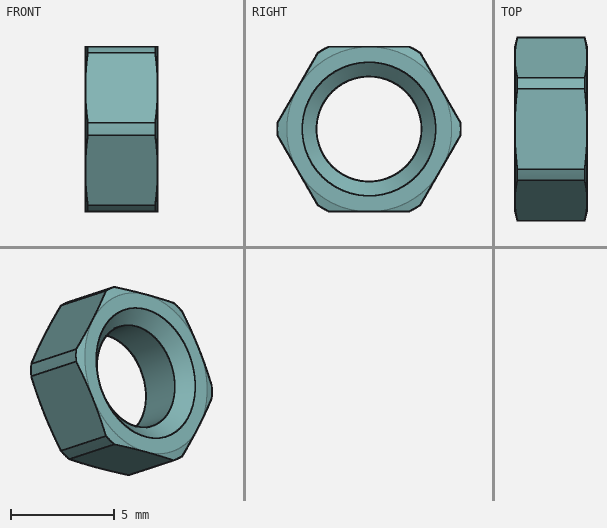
import cadquery as cq
import math

thickness = 3.5
across_flats = 8.0
corner_diameter = 8.9
bore_diameter = 5.08
countersink_diameter = 6.48
outer_chamfer_angle = 15.0
countersink_depth = (countersink_diameter - bore_diameter) / 2

flat_radius = across_flats / 2
corner_radius = corner_diameter / 2
bore_radius = bore_diameter / 2
countersink_radius = countersink_diameter / 2
half_thickness = thickness / 2
chamfer_length = (corner_radius - flat_radius) * math.tan(math.radians(outer_chamfer_angle))


def hexagon_prism():
    """Hexagonal bar with sharp corners, centred on the origin."""
    sharp_corner_diameter = across_flats / math.cos(math.radians(30))
    return (
        cq.Workplane("YZ")
        .polygon(6, sharp_corner_diameter)
        .extrude(half_thickness, both=True)
    )


def turned_ring():
    """Ring with chamfered rims and a bore countersunk at both ends."""
    chamfer_x = half_thickness - chamfer_length
    countersink_x = half_thickness - countersink_depth
    profile = [
        (-half_thickness, countersink_radius),
        (-half_thickness, flat_radius),
        (-chamfer_x, corner_radius),
        (chamfer_x, corner_radius),
        (half_thickness, flat_radius),
        (half_thickness, countersink_radius),
        (countersink_x, bore_radius),
        (-countersink_x, bore_radius),
    ]
    return cq.Workplane("XY").polyline(profile).close().revolve(360, (0, 0, 0), (1, 0, 0))


result = hexagon_prism().intersect(turned_ring())